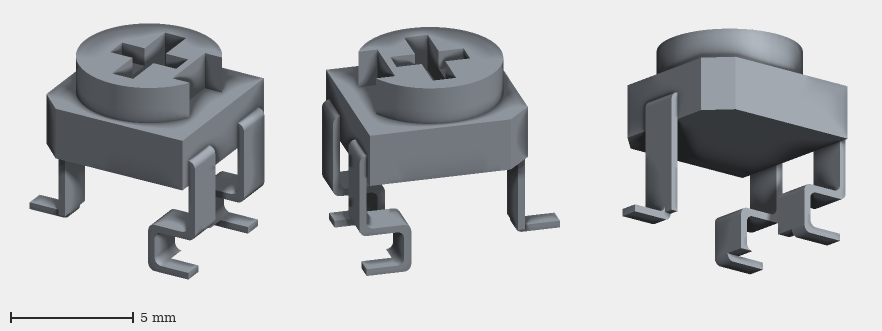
import cadquery as cq

overall_length = 9.2
sheet = 0.3
body_left = 1.9
body_right = overall_length - sheet
body_length = body_right - body_left
body_width = 6.7
body_bottom = 4.28
body_top = 6.54
corner_chamfer = 1.0

rotor_radius = 3.0
rotor_top = 8.14
rotor_height = rotor_top - body_top
rotor_x = (body_left + body_right) / 2
notch_left = 7.27
notch_width = 2.69
slot_width = 1.0
long_slot_length = 4.36
short_slot_length = 3.13
long_slot_depth = rotor_height
short_slot_depth = 0.8

lead_top = 5.42
wiper_lead_width = 1.665
end_lead_width = 1.68
end_lead_outer_y = 2.86
foot_width = 0.82
step_left = 7.0
step_top = 2.11


def make_body():
    block = cq.Workplane("XY").box(
        body_length, body_width, body_top - body_bottom, centered=(False, True, False)
    )
    block = block.edges("|Z and <X").chamfer(corner_chamfer)
    return block.translate((body_left, 0, body_bottom))


def make_rotor():
    disc = cq.Workplane("XY", origin=(rotor_x, 0, body_top)).circle(rotor_radius).extrude(rotor_height)
    notch = cq.Workplane("XY").box(
        rotor_radius, notch_width, rotor_height, centered=(False, True, False)
    )
    disc = disc.cut(notch.translate((notch_left, 0, body_top)))
    top_plane = cq.Workplane("XY", origin=(rotor_x, 0, rotor_top))
    long_slot = top_plane.rect(slot_width, long_slot_length).extrude(-long_slot_depth)
    short_slot = top_plane.rect(short_slot_length, slot_width).extrude(-short_slot_depth)
    return disc.cut(long_slot).cut(short_slot)


def extrude_strip(outline, y_start, width):
    """Extrude an XZ outline along +Y from y_start."""
    return outline.extrude(-width).translate((0, y_start, 0))


def narrow_foot(lead, foot_start):
    """Keep only the foot's width of the strip below the top of the foot."""
    low_zone = cq.Workplane("XY").box(overall_length, body_width, sheet, centered=(False, True, False))
    foot_zone = cq.Workplane("XY").box(overall_length, foot_width, sheet, centered=False)
    return lead.cut(low_zone.cut(foot_zone.translate((0, foot_start, 0))))


def make_wiper_lead():
    outer_x = body_left - sheet
    post = (
        cq.Workplane("XZ")
        .moveTo(body_left, sheet)
        .lineTo(body_left, lead_top)
        .radiusArc((outer_x, lead_top - sheet), -sheet)
        .lineTo(outer_x, sheet)
        .close()
    )
    foot = (
        cq.Workplane("XZ")
        .lineTo(outer_x, 0)
        .radiusArc((body_left, sheet), -sheet)
        .lineTo(body_left, 2 * sheet)
        .lineTo(outer_x, 2 * sheet)
        .radiusArc((outer_x - sheet, sheet), sheet)
        .lineTo(0, sheet)
        .close()
    )
    post = extrude_strip(post, -wiper_lead_width / 2, wiper_lead_width)
    return post.union(extrude_strip(foot, -foot_width / 2, foot_width))


def make_end_lead():
    """Lead on the +Y side, stepped inwards under the body."""
    outer_x = body_right + sheet
    step_bottom = step_top - sheet
    step_inner = step_left + sheet
    outline = (
        cq.Workplane("XZ")
        .moveTo(body_right, lead_top)
        .radiusArc((outer_x, lead_top - sheet), sheet)
        .lineTo(outer_x, step_top)
        .radiusArc((body_right, step_bottom), sheet)
        .lineTo(step_inner + sheet, step_bottom)
        .radiusArc((step_inner, step_bottom - sheet), -sheet)
        .lineTo(step_inner, 2 * sheet)
        .radiusArc((step_inner + sheet, sheet), -sheet)
        .lineTo(body_right, sheet)
        .lineTo(body_right, 0)
        .lineTo(step_inner, 0)
        .radiusArc((step_left, sheet), sheet)
        .lineTo(step_left, step_bottom)
        .radiusArc((step_inner, step_top), sheet)
        .lineTo(body_right - sheet, step_top)
        .radiusArc((body_right, step_top + sheet), -sheet)
        .close()
    )
    lead = extrude_strip(outline, end_lead_outer_y - end_lead_width, end_lead_width)
    return narrow_foot(lead, end_lead_outer_y - foot_width)


end_lead = make_end_lead()
result = make_body().union(make_rotor()).union(make_wiper_lead())
result = result.union(end_lead).union(end_lead.mirror("XZ"))